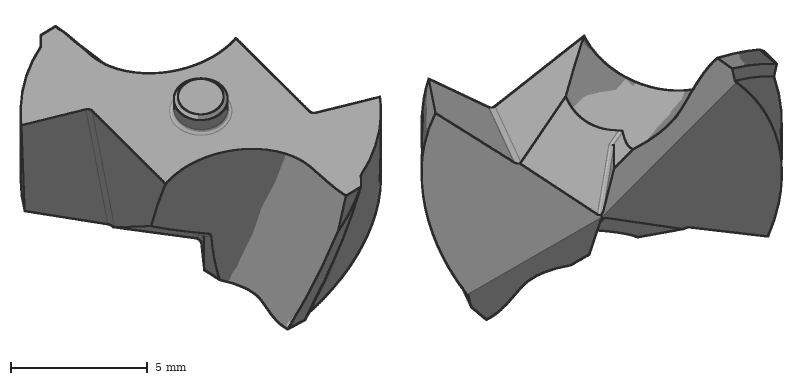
import cadquery as cq
import math

tip_depth = 7.44
blank_depth = 7.67
reach = 27.4

margin_radius = 6.85
body_radius = 6.59
margin_angle = 195.1
margin_width = 5.7
margin_runout = 3.8
twist_rate = 4.905
seat_flat_x = 6.41
seat_flat_tilt = 16.0

flute_points = [(-5.27, -1.59), (-4.01, -1.44), (-2.81, -0.67), (-2.1, 0.38), (-1.74, 1.97), (-1.89, 3.07)]
flute_exit_angle = 120.0

lip_slope = 0.345
lip_drop = 0.06
relief_slope = 0.4

notch_wall_y = 3.12
notch_wall_tilt = 1.3
notch_corner_x = -2.65
notch_corner_radius = 0.2
heel_bottom = (-2.85, -5.93, -4.08)
heel_top = (-3.51, -5.58, 0)

gash_lip = (1.52, -1.03)
gash_end_x = 4.11
gash_root_radius = 0.2

stud_radius = 0.99
stud_height = 0.84
stud_chamfer = 0.15
stud_base_fillet = 0.15
stud_overlap = 0.14


def polar(radius, angle):
    turn = math.radians(angle)
    return (radius * math.cos(turn), radius * math.sin(turn))


def half_space(point, normal):
    """Large block filling the side of a plane that the normal points to."""
    plane = cq.Plane(origin=point, normal=normal)
    return cq.Workplane(plane).rect(2 * reach, 2 * reach).extrude(reach)


def half_turn(shape):
    return shape.rotate((0, 0, 0), (0, 0, 1), 180)


def cut_both(solid, cutter):
    return solid.cut(cutter).cut(half_turn(cutter))


def twisted_blank():
    """Disc section with two flutes and raised margins, twisted along the axis."""

    def turned(points, angle):
        c = math.cos(math.radians(angle))
        s = math.sin(math.radians(angle))
        return [(c * x - s * y, s * x + c * y) for x, y in points]

    twist = twist_rate * blank_depth
    margin_end = margin_angle + margin_width
    body_start = margin_end + margin_runout
    body_end = flute_exit_angle + 180
    flute_start = polar(margin_radius, margin_angle)
    flute_end = polar(body_radius, flute_exit_angle)

    section = cq.Workplane("XY", origin=(0, 0, -blank_depth))
    section = section.moveTo(*turned([flute_end], -twist)[0])
    for wing in (0, 180):
        turn = wing - twist
        flute = turned(list(reversed(flute_points)) + [flute_start], turn)
        margin = turned([polar(margin_radius, margin_angle + margin_width / 2),
                         polar(margin_radius, margin_end)], turn)
        runout = turned([polar(body_radius, body_start)], turn)
        body = turned([polar(body_radius, (body_start + body_end) / 2),
                       polar(body_radius, body_end)], turn)
        section = section.lineTo(*flute[0]).spline(flute[1:], includeCurrent=True)
        section = section.threePointArc(*margin).lineTo(*runout[0]).threePointArc(*body)
    return section.close().twistExtrude(blank_depth, twist)


def point_facets(solid):
    """Lip facet and steeper relief facet under each wing, all meeting at the tip."""
    tip = (0, 0, -tip_depth)
    for side_slope in (lip_drop, relief_slope):
        solid = cut_both(solid, half_space(tip, (lip_slope, side_slope, -1)))
    return solid


def notch():
    """Corner between a near-upright wall and the flat heel of the left wing."""
    tilt = math.tan(math.radians(notch_wall_tilt))
    wall_side = half_space((0, -notch_wall_y, 0), (0, -1, -tilt))
    tip = cq.Vector(0, 0, -tip_depth)
    heel_normal = (cq.Vector(*heel_top) - tip).cross(cq.Vector(*heel_bottom) - tip)
    heel_side = half_space(heel_top, heel_normal.toTuple())
    box = cq.Workplane("XY").box(reach, reach, reach)
    corner = wall_side.intersect(heel_side).intersect(box)
    root = cq.selectors.NearestToPointSelector((notch_corner_x, -notch_wall_y, 0))
    return corner.edges(root).fillet(notch_corner_radius)


def gash():
    """Web-thinning cut: upright walls along the lip and a floor rising at 45 degrees in X and Y."""
    plan = [(0, 0), gash_lip, (gash_end_x, gash_lip[1]), (gash_end_x, -reach / 2),
            (heel_bottom[0] * 2, heel_bottom[1] * 2)]
    walls = cq.Workplane("XY", origin=(0, 0, -reach / 2)).polyline(plan).close().extrude(reach)
    cutter = walls.intersect(half_space((0, 0, -tip_depth), (1, -1, -1)))
    root_points = [(gash_lip[0] / 2, gash_lip[1] / 2), ((gash_lip[0] + gash_end_x) / 2, gash_lip[1])]
    roots = cq.Workplane("XY")
    for x, y in root_points:
        root = cq.selectors.NearestToPointSelector((x, y, x - y - tip_depth))
        roots = roots.add(cutter.edges(root).val())
    return cq.Workplane(cutter.val().fillet(gash_root_radius, roots.vals()))


def seat_flat():
    """Leaning flat that trims the margin next to the seat face."""
    tilt = math.radians(seat_flat_tilt)
    return half_space((seat_flat_x, 0, 0), (math.cos(tilt), 0, math.sin(tilt)))


def stud():
    """Locating stud with a chamfered top and a concave fillet at the base."""
    fillet_mid = stud_base_fillet * (1 - math.sqrt(0.5))
    return (
        cq.Workplane("XZ")
        .moveTo(0, -stud_overlap)
        .lineTo(stud_radius + stud_base_fillet, -stud_overlap)
        .lineTo(stud_radius + stud_base_fillet, 0)
        .threePointArc((stud_radius + fillet_mid, fillet_mid), (stud_radius, stud_base_fillet))
        .lineTo(stud_radius, stud_height - stud_chamfer)
        .lineTo(stud_radius - stud_chamfer, stud_height)
        .lineTo(0, stud_height)
        .close()
        .revolve(360, (0, 0, 0), (0, 1, 0))
    )


head = point_facets(twisted_blank())
for cutter in (notch(), gash(), seat_flat()):
    head = cut_both(head, cutter)
result = head.union(stud())